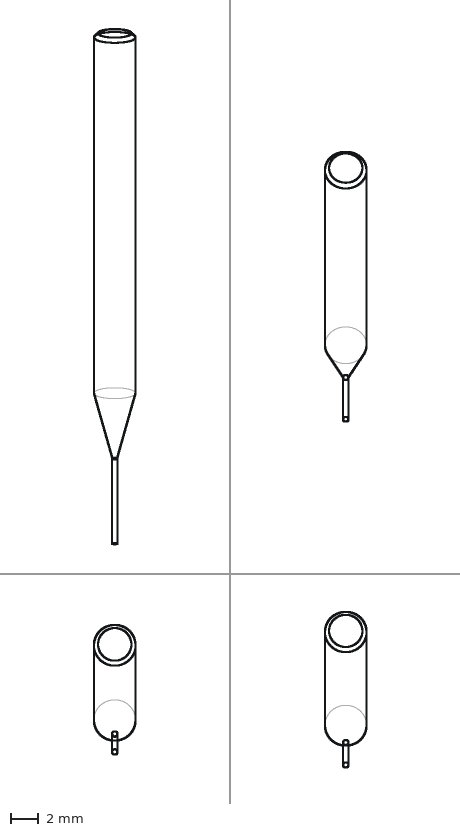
import cadquery as cq
import math

total_length = 38.0
shank_radius = 1.5
needle_radius = 0.2

cone_top_height = 11.25
cone_bottom_height = 6.5
needle_top_height = 6.4

top_chamfer = 0.3
point_half_angle = 70.0
point_height = needle_radius / math.tan(math.radians(point_half_angle))

tip_z = -total_length / 2
top_z = total_length / 2
cone_top_z = tip_z + cone_top_height
cone_bottom_z = tip_z + cone_bottom_height
needle_top_z = tip_z + needle_top_height


def revolve_profile(points):
    """Turn a closed (radius, height) outline a full circle about Z."""
    return cq.Workplane("XZ").polyline(points).close().revolve(360, (0, 0, 0), (0, 1, 0))


def make_shank():
    """Cylindrical shank with a chamfered top and a cone that ends in a short straight neck."""
    return revolve_profile([
        (0, needle_top_z),
        (needle_radius, needle_top_z),
        (needle_radius, cone_bottom_z),
        (shank_radius, cone_top_z),
        (shank_radius, top_z - top_chamfer),
        (shank_radius - top_chamfer, top_z),
        (0, top_z),
    ])


def make_needle():
    """Thin pointed needle, butted against the end of the neck."""
    return revolve_profile([
        (0, tip_z),
        (needle_radius, tip_z + point_height),
        (needle_radius, needle_top_z),
        (0, needle_top_z),
    ])


shank = make_shank()
needle = make_needle()

result = cq.Compound.makeCompound([shank.val(), needle.val()])